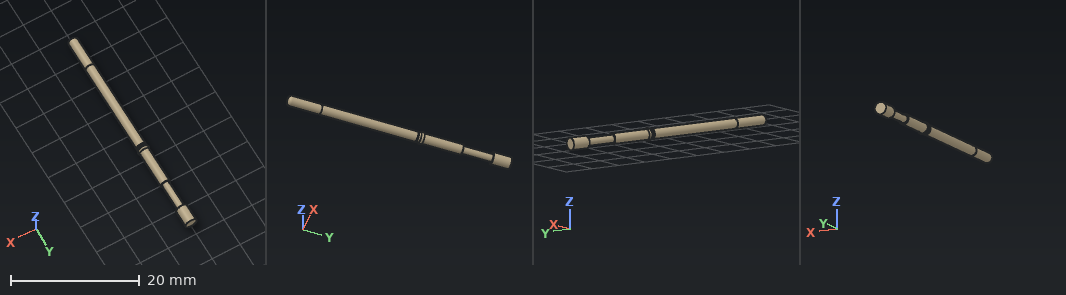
import cadquery as cq
import math

length = 37.0
head_length = 3.0
neck_length = 5.0
collar_start = 14.5
collar_width = 0.5
stop_groove_start = 15.2
stop_groove_width = 0.35
stop_groove_floor = 0.15
crimp_groove_center = 31.5
crimp_groove_width = 0.45

neck_diameter = 1.3
head_radius = 1.0
neck_radius = neck_diameter / 2
barrel_radius = 0.85
collar_radius = 1.0
groove_depth = 0.2
tip_radius = 0.48

head_end = length / 2
tip_end = -length / 2
neck_start = head_end - head_length
barrel_start = neck_start - neck_length
collar_top = head_end - collar_start
collar_bottom = collar_top - collar_width
stop_groove_top = head_end - stop_groove_start
stop_groove_bottom = stop_groove_top - stop_groove_width
lip_width = crimp_groove_width / 2
stop_floor_top = stop_groove_bottom + stop_groove_floor
crimp_center = head_end - crimp_groove_center
crimp_top = crimp_center + lip_width
crimp_bottom = crimp_center - lip_width
groove_radius = barrel_radius - groove_depth

lip_radius = (lip_width**2 + groove_depth**2) / (2 * groove_depth)
lip_half_angle = math.asin(lip_width / lip_radius) / 2
lower_lip_middle = (
    barrel_radius - lip_radius * (1 - math.cos(lip_half_angle)),
    crimp_bottom + lip_radius * math.sin(lip_half_angle),
)

profile = (
    cq.Workplane("XY")
    .moveTo(0, head_end)
    .lineTo(head_radius, head_end)
    .lineTo(head_radius, neck_start)
    .lineTo(neck_radius, neck_start)
    .lineTo(neck_radius, barrel_start)
    .lineTo(barrel_radius, barrel_start)
    .lineTo(barrel_radius, collar_top)
    .threePointArc(
        (collar_radius, (collar_top + collar_bottom) / 2),
        (barrel_radius, collar_bottom),
    )
    .lineTo(barrel_radius, stop_groove_top)
    .tangentArcPoint((groove_radius, stop_floor_top), relative=False)
    .lineTo(groove_radius, stop_groove_bottom)
    .lineTo(barrel_radius, stop_groove_bottom)
    .lineTo(barrel_radius, crimp_top)
    .tangentArcPoint((groove_radius, crimp_center), relative=False)
    .threePointArc(lower_lip_middle, (barrel_radius, crimp_bottom))
    .lineTo(barrel_radius, tip_end + tip_radius)
    .tangentArcPoint((barrel_radius - tip_radius, tip_end), relative=False)
    .lineTo(0, tip_end)
    .close()
)

result = profile.revolve(360, (0, 0, 0), (0, 1, 0))